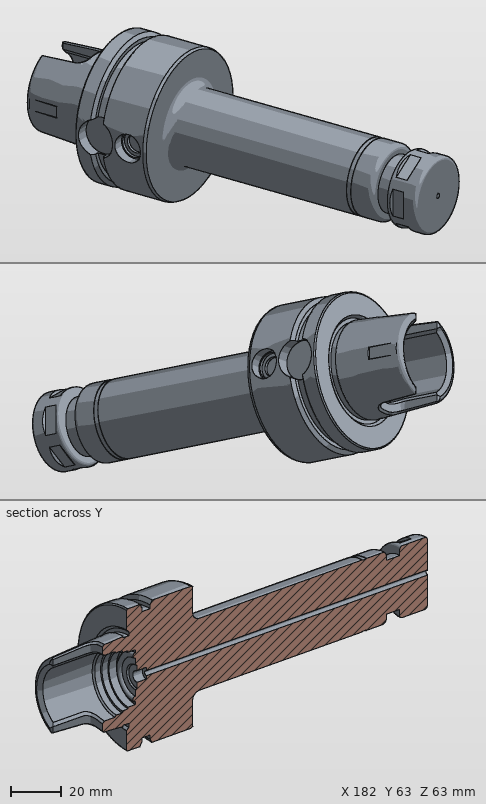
import cadquery as cq
total_length = 182.0
shank_end = 30.4
flange_start = 32.0
flange_end = 65.2
body_end = 161.6
nut_start = 168.0

shank_mouth_fillet = 2.0
shank_mouth_radius = 18.4
shank_base_radius = 20.0
cross_hole_x = 15.1
cross_hole_diameter = 12.5
key_flat_width = 5.0
key_flat_height = 18.4
slot_width = 14.0
slot_depth = 20.0
slot_corner_radius = 4.0
slot_edge_chamfer = 1.0

relief_radius = 19.5
relief_outer_radius = 22.2
relief_depth = 1.1

flange_radius = 31.5
flange_chamfer = 0.5
flange_back_chamfer_length = 1.3
flange_back_chamfer_drop = 0.5
groove_start = 38.8
groove_end = 44.8
groove_radius = 28.0
groove_wall_run = 1.1
groove_wall_drop = 1.8
pocket_x = 41.7
pocket_diameter = 16.0
pocket_floor_height = 26.0
screw_hole_x = 56.8
screw_hole_steps = [(12.0, 4.7), (11.0, 6.0), (8.0, 7.3)]

body_radius = 16.0
body_fillet = 3.3
body_end_fillet = 2.2
mark_start = 149.5
mark_end = 151.5
mark_depth = 0.2
neck_radius = 12.0

nut_radius = 16.0
nut_fillet = 1.5
wrench_flat_count = 6
wrench_flat_start = 170.5
wrench_flat_end = 175.6
wrench_flat_height = 15.0
wrench_flat_wall_run = 0.7

bore_mouth_radius = 16.2
bore_lead_length = 1.6
bore_radius = 14.4
bore_end = 26.2
middle_bore_start = 27.0
middle_bore_radius = 13.6
middle_bore_end = 29.8
inner_bore_radius = 12.7
inner_bore_end = 32.8
floor_bore_radius = 12.0
bore_floor = 36.4
lip_outer_radius = 11.0
lip_inner_radius = 8.4
recess_depth = 0.7
recess_mouth_diameter = 11.0
recess_floor_diameter = 10.0
center_drill_diameter = 5.0
center_drill_depth = 5.5
coolant_diameter = 2.0


def revolve_about_x(profile):
    return profile.close().revolve(360, (0, 0, 0), (1, 0, 0))


def y_cylinder(x, diameter, start, end):
    """Cylinder along Y at station x, between two Y positions."""
    solid = cq.Solid.makeCylinder(
        diameter / 2, end - start, cq.Vector(x, start, 0), cq.Vector(0, 1, 0)
    )
    return cq.Workplane(obj=solid)


def make_shank():
    return revolve_about_x(
        cq.Workplane("XY")
        .moveTo(0, 0)
        .lineTo(0, shank_mouth_radius - shank_mouth_fillet)
        .radiusArc((shank_mouth_fillet, shank_mouth_radius), shank_mouth_fillet)
        .lineTo(shank_end, shank_base_radius)
        .lineTo(shank_end, relief_radius)
        .lineTo(flange_start + relief_depth, relief_radius)
        .lineTo(flange_start + relief_depth, 0)
    )


def make_drive_slot():
    """Slot through the shank along Z, open at the coupling end."""
    height = 4 * shank_base_radius
    return (
        cq.Workplane("XY")
        .box(2 * slot_depth, slot_width, height)
        .edges("|Z and >X")
        .fillet(slot_corner_radius)
    )


def make_slot_clearance():
    """Drive slot as removed from the shank, widened by chamfers along the rims of its walls."""
    tube = revolve_about_x(
        cq.Workplane("XY")
        .moveTo(0, bore_radius)
        .lineTo(0, shank_mouth_radius)
        .lineTo(shank_end, shank_base_radius)
        .lineTo(shank_end, bore_radius)
    )
    slotted = tube.cut(make_drive_slot())
    rims = slotted.edges("|Z and <X").vals()
    for side in (-1, 1):
        wall_region = cq.selectors.BoxSelector(
            (0, -slot_width, side * bore_radius / 2),
            (slot_depth + 1.8, slot_width, side * 2 * shank_base_radius),
        )
        rims += slotted.faces(wall_region).edges("not |Z").vals()
    return tube.cut(slotted.newObject(rims).chamfer(slot_edge_chamfer))


def make_flange_and_body():
    return revolve_about_x(
        cq.Workplane("XY")
        .moveTo(flange_start + relief_depth, 0)
        .lineTo(flange_start + relief_depth, relief_outer_radius - relief_depth)
        .lineTo(flange_start, relief_outer_radius)
        .lineTo(flange_start, flange_radius - flange_chamfer)
        .lineTo(flange_start + flange_chamfer, flange_radius)
        .lineTo(groove_start, flange_radius)
        .lineTo(groove_start + groove_wall_run, flange_radius - groove_wall_drop)
        .lineTo(groove_start + groove_wall_run, groove_radius)
        .lineTo(groove_end - groove_wall_run, groove_radius)
        .lineTo(groove_end - groove_wall_run, flange_radius - groove_wall_drop)
        .lineTo(groove_end, flange_radius)
        .lineTo(flange_end - flange_back_chamfer_length, flange_radius)
        .lineTo(flange_end, flange_radius - flange_back_chamfer_drop)
        .lineTo(flange_end, body_radius + body_fillet)
        .radiusArc((flange_end + body_fillet, body_radius), -body_fillet)
        .lineTo(mark_start, body_radius)
        .lineTo(mark_start, body_radius - mark_depth)
        .lineTo(mark_end, body_radius - mark_depth)
        .lineTo(mark_end, body_radius)
        .lineTo(body_end - body_end_fillet, body_radius)
        .radiusArc((body_end, body_radius - body_end_fillet), body_end_fillet)
        .lineTo(body_end, neck_radius)
        .lineTo(nut_start, neck_radius)
        .lineTo(nut_start, nut_radius - nut_fillet)
        .radiusArc((nut_start + nut_fillet, nut_radius), nut_fillet)
        .lineTo(total_length - nut_fillet, nut_radius)
        .radiusArc((total_length, nut_radius - nut_fillet), nut_fillet)
        .lineTo(total_length, 0)
    )


def make_bore():
    """Stepped coupling bore, with a rounded lip ring standing on its floor."""
    lip_radius = (lip_outer_radius - lip_inner_radius) / 2
    lip_middle = (lip_outer_radius + lip_inner_radius) / 2
    return revolve_about_x(
        cq.Workplane("XY")
        .moveTo(0, 0)
        .lineTo(0, bore_mouth_radius)
        .lineTo(bore_lead_length, bore_radius)
        .lineTo(bore_end, bore_radius)
        .lineTo(middle_bore_start, middle_bore_radius)
        .lineTo(middle_bore_end, middle_bore_radius)
        .lineTo(middle_bore_end, inner_bore_radius)
        .lineTo(inner_bore_end, inner_bore_radius)
        .lineTo(inner_bore_end, floor_bore_radius)
        .lineTo(bore_floor, floor_bore_radius)
        .lineTo(bore_floor, lip_outer_radius)
        .threePointArc((bore_floor - lip_radius, lip_middle), (bore_floor, lip_inner_radius))
        .lineTo(bore_floor, recess_mouth_diameter / 2)
        .lineTo(bore_floor + recess_depth, recess_floor_diameter / 2)
        .lineTo(bore_floor + recess_depth, center_drill_diameter / 2)
        .lineTo(bore_floor + center_drill_depth, center_drill_diameter / 2)
        .lineTo(bore_floor + center_drill_depth, coolant_diameter / 2)
        .lineTo(total_length, coolant_diameter / 2)
        .lineTo(total_length, 0)
    )


def make_cross_hole():
    """Straight hole through both shank walls."""
    return y_cylinder(cross_hole_x, cross_hole_diameter, -shank_base_radius, shank_base_radius)


def make_key_flats():
    """Shallow strips on both sides, from the coupling end to the cross hole."""
    strip_height = shank_base_radius - key_flat_height
    strip = cq.Workplane("XY").box(
        cross_hole_x, strip_height, key_flat_width, centered=(False, False, True)
    )
    front = strip.translate((0, -shank_base_radius, 0))
    return front.union(front.mirror("XZ"))


def make_side_cuts():
    """Round pocket and stepped screw hole on both sides of the flange."""
    cuts = y_cylinder(pocket_x, pocket_diameter, -flange_radius, -pocket_floor_height)
    for diameter, depth in screw_hole_steps:
        cuts = cuts.union(
            y_cylinder(screw_hole_x, diameter, -flange_radius, depth - flange_radius)
        )
    return cuts.union(cuts.mirror("XZ"))


def make_wrench_flats():
    """Flats around the nut, their end walls sloping outward."""
    rise = nut_radius - wrench_flat_height
    cutter = (
        cq.Workplane("XY")
        .moveTo(wrench_flat_start, -wrench_flat_height)
        .lineTo(wrench_flat_end, -wrench_flat_height)
        .lineTo(wrench_flat_end + wrench_flat_wall_run, -wrench_flat_height - rise)
        .lineTo(wrench_flat_start - wrench_flat_wall_run, -wrench_flat_height - rise)
        .close()
        .extrude(nut_radius, both=True)
    )
    flats = cutter
    for index in range(1, wrench_flat_count):
        angle = index * 360 / wrench_flat_count
        flats = flats.union(cutter.rotate((0, 0, 0), (1, 0, 0), angle))
    return flats


result = (
    make_shank()
    .union(make_flange_and_body())
    .cut(make_bore())
    .cut(make_slot_clearance())
    .cut(make_key_flats())
    .cut(make_cross_hole())
    .cut(make_side_cuts())
    .cut(make_wrench_flats())
)